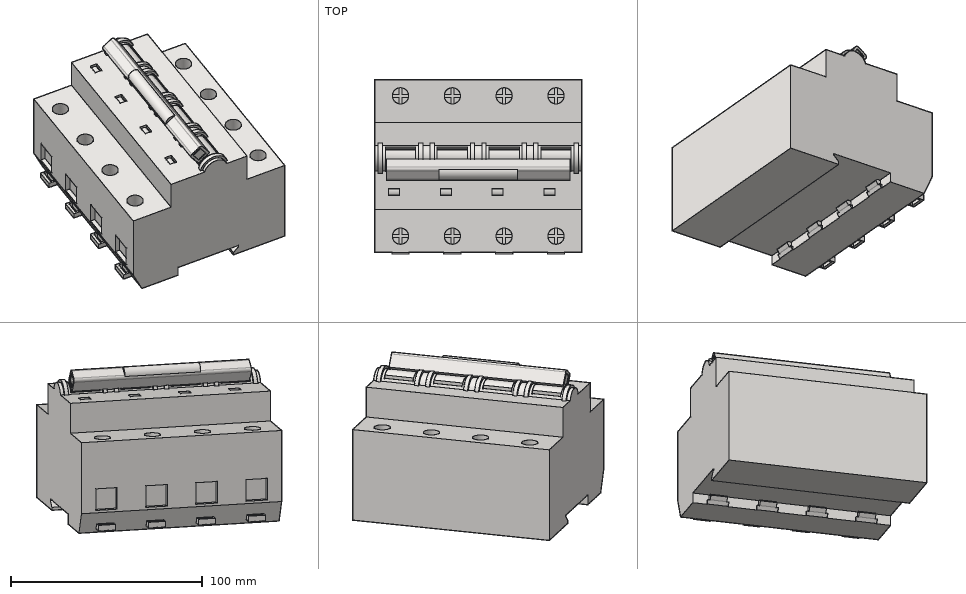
import cadquery as cq
import math


width = 108.0
depth = 90.0
shoulder_z = 49.7
nose_depth = 45.1
nose_back_z = 66.0
nose_front_z = 65.7
chamfer_depth = 5.2
chamfer_height = 11.7
front_y = -depth / 2
back_y = depth / 2

rail_height = 5.4
rail_front_y = -18.4
rail_back_y = 17.6
rail_hook_y = 14.5
rail_hook_low_z = 1.6
rail_hook_high_z = 4.6

pole_count = 4
pole_pitch = width / pole_count
pole_xs = [(i - (pole_count - 1) / 2) * pole_pitch for i in range(pole_count)]

well_diameter = 8.4
well_depth = 10.8
well_edge_gap = 8.4
cross_width = 1.5
cross_depth = 1.1

window_size = 11.6
window_base_z = 13.0
window_depth = 2.5

indicator_length = 5.7
indicator_width = 3.8
indicator_depth = 1.6
indicator_offset_x = -3.3
indicator_y = -13.5
indicator_drum_width = 3.1
indicator_drum_rise = 0.3

latch_width = 9.1
latch_base_z = 2.0
latch_top_z = 5.1
latch_overhang = 0.9
latch_slot_length = 6.9
latch_slot_width = 2.0
latch_slot_wall = 1.6
catch_tip_y = -15.2
catch_tip_z = 4.1
catch_top_y = -16.4
catch_base_y = -16.7
lip_base_y = -17.9
lip_width = 11.6

drum_y = 4.0
drum_z = 63.8
drum_radius = 6.9
flange_radius = 8.2
flange_width = 2.3
flange_offset = 10.5
rotor_radius = 6.7
rotor_half = 4.4
drum_slot_width = 15.8
drum_slot_rim_half = 5.8
drum_slot_rim_rise = 3.7
drum_slot_base_half = rotor_half
drum_slot_base_rise = 1.3

handle_tilt = 35.0
handle_length = 95.7
handle_back = -4.3
handle_front = 3.9
handle_base = 6.7
handle_tip = 15.4
handle_round = 1.5
grip_length = 40.8
grip_edge_angle = 60.0
grip_rise = 1.6
panel_margin = 1.5
panel_depth = 0.4
arm_inset = 0.2


def extrude_along_x(profile, length, center_x=0.0):
    """Extrude a YZ profile by a length centred on center_x."""
    return profile.extrude(length / 2, both=True).translate((center_x, 0, 0))


def block(x_size, y_range, z_range, center_x):
    """Box centred on center_x and spanning the given Y and Z ranges."""
    y_low, y_high = y_range
    z_low, z_high = z_range
    solid = cq.Workplane("XY").box(x_size, y_high - y_low, z_high - z_low)
    return solid.translate((center_x, (y_low + y_high) / 2, (z_low + z_high) / 2))


def make_housing():
    nose_y = nose_depth / 2
    outline = cq.Workplane("YZ").polyline([
        (front_y + chamfer_depth, 0),
        (front_y, chamfer_height),
        (front_y, shoulder_z),
        (-nose_y, shoulder_z),
        (-nose_y, nose_front_z),
        (drum_y, nose_front_z),
        (drum_y, nose_back_z),
        (nose_y, nose_back_z),
        (nose_y, shoulder_z),
        (back_y, shoulder_z),
        (back_y, 0),
        (rail_hook_y, 0),
        (rail_hook_y, rail_hook_low_z),
        (rail_back_y, rail_hook_high_z),
        (rail_back_y, rail_height),
        (rail_front_y, rail_height),
        (rail_front_y, 0),
    ]).close()
    return extrude_along_x(outline, width)


def make_screw_well(x, y):
    """Round well with a cross recess in its floor."""
    floor_z = shoulder_z - well_depth
    well = cq.Workplane("XY", origin=(x, y, floor_z)).circle(well_diameter / 2).extrude(well_depth)
    head = cq.Workplane("XY", origin=(x, y, floor_z)).circle(well_diameter / 2).extrude(-cross_depth)
    bars = (
        cq.Workplane("XY", origin=(x, y, floor_z))
        .rect(well_diameter, cross_width)
        .extrude(-cross_depth)
        .union(
            cq.Workplane("XY", origin=(x, y, floor_z))
            .rect(cross_width, well_diameter)
            .extrude(-cross_depth)
        )
    )
    return well.union(head.intersect(bars))


def make_cable_window(x):
    return block(
        window_size,
        (front_y, front_y + window_depth),
        (window_base_z, window_base_z + window_size),
        x,
    )


def make_indicator_window(x):
    """Pocket that leaves a crowned indicator drum standing on its floor."""
    floor_z = nose_front_z - indicator_depth
    center_x = x + indicator_offset_x
    pocket = block(
        indicator_length,
        (indicator_y - indicator_width / 2, indicator_y + indicator_width / 2),
        (floor_z, nose_front_z),
        center_x,
    )
    crown = (
        cq.Workplane("YZ")
        .moveTo(indicator_y - indicator_drum_width / 2, floor_z)
        .threePointArc(
            (indicator_y, floor_z + indicator_drum_rise),
            (indicator_y + indicator_drum_width / 2, floor_z),
        )
        .close()
    )
    return pocket.cut(extrude_along_x(crown, indicator_length, center_x))


def make_latch(x):
    """Slotted pull tab at the front and pointed catch over a wider lip in the rail slot."""
    tab_y = front_y - latch_overhang
    tab = block(latch_width, (tab_y, front_y + chamfer_depth), (latch_base_z, latch_top_z), x)
    slot_y = tab_y + latch_slot_wall
    slot = block(latch_slot_length, (slot_y, slot_y + latch_slot_width), (latch_base_z, latch_top_z), x)
    catch = cq.Workplane("YZ").polyline([
        (rail_front_y, latch_base_z),
        (rail_front_y, latch_top_z),
        (catch_top_y, latch_top_z),
        (catch_tip_y, catch_tip_z),
        (catch_base_y, latch_base_z),
    ]).close()
    lip = cq.Workplane("YZ").polyline([
        (rail_front_y, 0),
        (rail_front_y, latch_base_z),
        (catch_base_y, latch_base_z),
        (lip_base_y, 0),
    ]).close()
    return (
        tab.cut(slot)
        .union(extrude_along_x(catch, latch_width, x))
        .union(extrude_along_x(lip, lip_width, x))
    )


def make_drum_cylinder(radius, length, center_x=0.0):
    circle = cq.Workplane("YZ", origin=(0, drum_y, drum_z)).circle(radius)
    return extrude_along_x(circle, length, center_x)


def make_drum():
    """Slotted drum with two flanges and a rotor at each pole."""
    drum = make_drum_cylinder(drum_radius, width)
    for x in pole_xs:
        slot = cq.Workplane("YZ", origin=(0, drum_y, drum_z)).polyline([
            (-drum_slot_base_half, drum_slot_base_rise),
            (-drum_slot_rim_half, drum_slot_rim_rise),
            (-drum_slot_rim_half, drum_radius),
            (drum_slot_rim_half, drum_radius),
            (drum_slot_rim_half, drum_slot_rim_rise),
            (drum_slot_base_half, drum_slot_base_rise),
        ]).close()
        drum = drum.cut(extrude_along_x(slot, drum_slot_width, x))
        rotor_span = block(drum_slot_width, (drum_y - rotor_half, drum_y + rotor_half), (0, 2 * drum_z), x)
        drum = drum.union(make_drum_cylinder(rotor_radius, drum_slot_width, x).intersect(rotor_span))
        for side in (-1, 1):
            drum = drum.union(make_drum_cylinder(flange_radius, flange_width, x + side * flange_offset))
    base = block(width, (drum_y - depth, drum_y + depth), (0, nose_front_z), 0)
    return drum.cut(base)


def make_handle():
    """Lever bar with a crowned grip, end panels and one arm per pole, tilted to the front."""
    thickness = handle_front - handle_back
    height = handle_tip - handle_base
    middle = (handle_front + handle_back) / 2
    bar = (
        block(handle_length, (-handle_front, -handle_back), (handle_base, handle_tip), 0)
        .edges("|X and >Z")
        .fillet(handle_round)
    )
    edge_angle = math.radians(grip_edge_angle)
    edge_inset = handle_round * (1 - math.cos(edge_angle))
    edge_height = handle_tip - handle_round * (1 - math.sin(edge_angle))
    grip = (
        cq.Workplane("YZ")
        .moveTo(edge_inset - handle_front, handle_base)
        .lineTo(edge_inset - handle_front, edge_height)
        .threePointArc((-middle, handle_tip + grip_rise), (-handle_back - edge_inset, edge_height))
        .lineTo(-handle_back - edge_inset, handle_base)
        .close()
    )
    handle = bar.union(extrude_along_x(grip, grip_length))
    for side in (-1, 1):
        panel = (
            cq.Workplane("XY")
            .box(2 * panel_depth, thickness - 2 * panel_margin, height - 2 * panel_margin)
            .translate((side * handle_length / 2, -middle, (handle_base + handle_tip) / 2))
        )
        handle = handle.cut(panel)
    for x in pole_xs:
        arm = block(drum_slot_width, (arm_inset - handle_front, -middle), (0, handle_base), x)
        handle = handle.union(arm)
    return handle.rotate((0, 0, 0), (1, 0, 0), handle_tilt).translate((0, drum_y, drum_z))


result = make_housing().union(make_drum()).union(make_handle())
for pole_x in pole_xs:
    for well_y in (front_y + well_edge_gap, back_y - well_edge_gap):
        result = result.cut(make_screw_well(pole_x, well_y))
    result = result.cut(make_cable_window(pole_x))
    result = result.cut(make_indicator_window(pole_x))
    result = result.union(make_latch(pole_x))